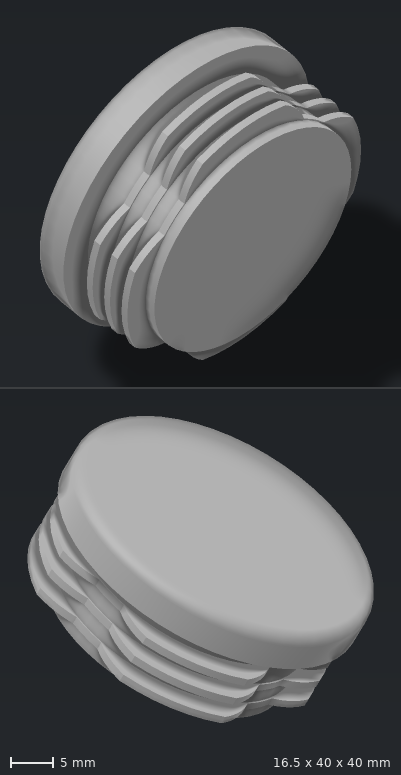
import math

import cadquery as cq

overall_length = 16.5

head_diameter = 40.0
head_thickness = 5.0
head_rim_radius = 1.5

plug_diameter = 32.0

fin_count = 3
fin_thickness = 1.0
fin_pitch = 3.0
first_fin_x = head_thickness + fin_pitch
fin_radius = 19.0
lobe_count = 4
lobe_half_angle = 20.8
notch_floor_height = 0.2
notch_floor_radius = plug_diameter / 2 + notch_floor_height
notch_floor_half_angle = 8.1
notch_flank_radius = 10.0


def polar(radius, angle):
    """Point (y, z) at the given radius and angle in degrees from +Y."""
    radians = math.radians(angle)
    return (radius * math.cos(radians), radius * math.sin(radians))


def make_head():
    """Round head with a rounded rim on its outer face."""
    head = cq.Workplane("YZ").circle(head_diameter / 2).extrude(head_thickness)
    return head.faces("<X").edges().fillet(head_rim_radius)


def make_plug():
    """Plain cylinder behind the head that carries the fins."""
    plug_plane = cq.Workplane("YZ", origin=(head_thickness, 0, 0))
    return plug_plane.circle(plug_diameter / 2).extrude(overall_length - head_thickness)


def make_fin(x_start):
    """Four-lobed disc: bulging flanks run from each lobe down to a notch floor just above the plug."""
    lobe_step = 360 / lobe_count
    outline = cq.Workplane("YZ", origin=(x_start, 0, 0)).moveTo(*polar(fin_radius, -lobe_half_angle))
    for lobe in range(lobe_count):
        lobe_angle = lobe * lobe_step
        notch_angle = lobe_angle + lobe_step / 2

        lobe_middle = polar(fin_radius, lobe_angle)
        lobe_end = polar(fin_radius, lobe_angle + lobe_half_angle)
        floor_start = polar(notch_floor_radius, notch_angle - notch_floor_half_angle)
        floor_middle = polar(notch_floor_radius, notch_angle)
        floor_end = polar(notch_floor_radius, notch_angle + notch_floor_half_angle)
        next_lobe_start = polar(fin_radius, lobe_angle + lobe_step - lobe_half_angle)

        outline = (
            outline
            .threePointArc(lobe_middle, lobe_end)
            .radiusArc(floor_start, -notch_flank_radius)
            .threePointArc(floor_middle, floor_end)
            .radiusArc(next_lobe_start, -notch_flank_radius)
        )
    return outline.close().extrude(fin_thickness)


result = make_head().union(make_plug())
for fin in range(fin_count):
    result = result.union(make_fin(first_fin_x + fin * fin_pitch))